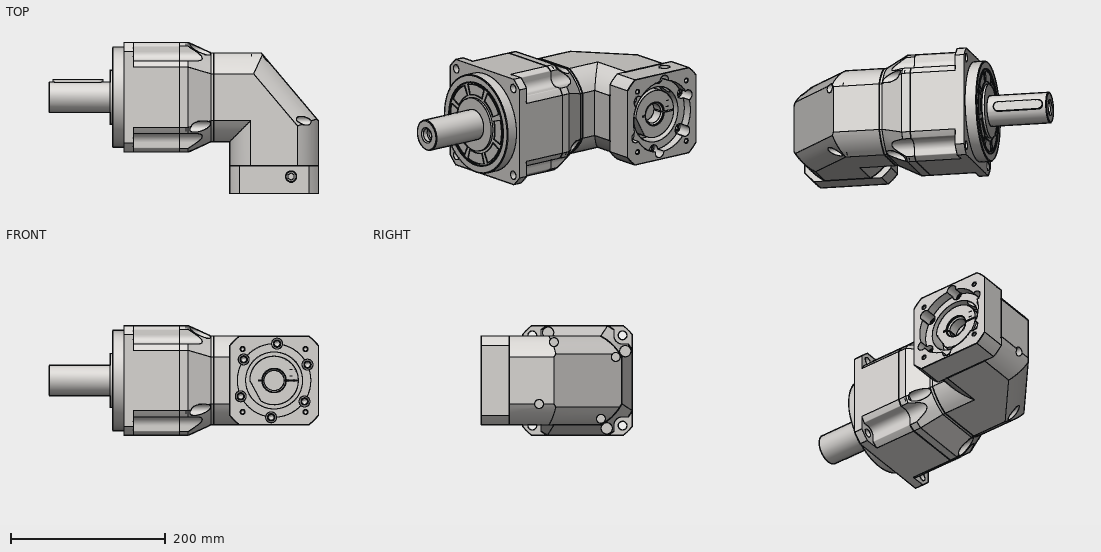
import cadquery as cq
import math


SHAFT_D = 40.0
SHAFT_TIP_X = -97.0
SHAFT_CHAMFER = 1.0
SHAFT_SEAT_X = 0.0
CENTRE_MOUTH_D = 20.5
CENTRE_RECESS_D = 17.0
CENTRE_RECESS_DEPTH = 8.0
CENTRE_THREAD_D = 14.0
CENTRE_THREAD_DEPTH = 36.0
KEY_LENGTH = 65.0
KEY_WIDTH = 12.0
KEY_HEIGHT = 8.0
KEY_TOP_Y = 23.0
KEY_START_X = -92.0

FLANGE_SIZE = 142.0
FLANGE_ROUND_D = 185.0
FLANGE_LENGTH = 12.0
BOLT_CIRCLE_D = 165.0
BOLT_HOLE_D = 11.0
PILOT_D = 130.0
PILOT_LENGTH = 15.0
PILOT_CHAMFER = 1.0
SEAL_BOSS_D = 70.0
SEAL_BOSS_LENGTH = 3.0
COVER_D = 110.0
COVER_GROOVE = 1.0
COVER_POCKET_COUNT = 8
COVER_POCKET_OUTER_D = 104.8
COVER_POCKET_INNER_D = 77.2
COVER_POCKET_HALF_ANGLE = 18.3
COVER_POCKET_DEPTH = 1.0
BODY_ROUND_D = 162.0
FLUTE_WALL = 47.0
FLUTE_RADIUS = 11.3
FLUTE_EDGE_RADIUS = 1.4
BODY_END_X = 72.0
BODY_END_CHAMFER = 0.5

TAPER_START_X = 83.0
TAPER_END_X = 112.5
RING_END_X = 116.0
RING_SCREW_D = 14.6
RING_SCREW_CIRCLE_D = 145.0
ELBOW_SCREW_D = 11.5
ELBOW_SCREW_CIRCLE_D = 116.3
SCREW_ANGLE = 31.5
RING_SCREW_FLOOR_X = 80.0

ELBOW_SIZE = 115.0
ELBOW_ROUND_D = 130.0
MOTOR_X = 194.0
ELBOW_END_Y = -88.5
SLANT_TOP_X = 177.3
SLANT_BOTTOM_Y = -30.5
SLANT_ROUND_DEPTH = 25.0
ELBOW_END_CHAMFER = 0.6
ELBOW_SCREW_FLOOR_X = 165.0

ADAPTER_FACE_Y = -124.5
ADAPTER_ROUND_D = 146.0
ADAPTER_CHAMFER = 0.4
RECESS_D = 95.0
RECESS_DEPTH = 12.5
HUB_CAVITY_D = 73.6
MOTOR_BOLT_SQUARE = 81.3
MOTOR_BOLT_D = 5.0
MOTOR_BOLT_MOUTH_D = 6.5
MOTOR_BOLT_DEPTH = 18.0
CAP_COUNT = 6
CAP_CIRCLE_D = 95.6
CAP_FIRST_ANGLE = 25.4
CAP_BORE_D = 14.0
CAP_BORE_DEPTH = 20.0
CAP_THREAD_D = 7.5
CAP_THREAD_MOUTH_D = 9.7
CAP_THREAD_DEPTH = 8.0
DRILL_TIP_ANGLE = 118.0

HUB_D = 62.8
HUB_FACE_Y = -110.0
HUB_BORE_D = 26.0
HUB_COLLAR_D = 30.0
HUB_COLLAR_DEPTH = 2.0
HUB_MOUTH_D = 31.6
HUB_BORE_FLOOR_Y = -92.0
HUB_FLAT_DISTANCE = 27.6
HUB_FLAT_ANGLE = 208.4
SLIT_WIDTH = 1.8
SLIT_SHORT_REACH = 20.0
CLAMP_OFFSET_X = 22.0
CLAMP_Y = -102.4
CLAMP_HEAD_D = 13.0
CLAMP_HEAD_BASE_Z = 6.0
CLAMP_HEAD_TOP_Z = 14.0
CLAMP_SHANK_D = 8.0
CLAMP_SHANK_END_Z = -14.0
SOCKET_SIDES = 6
CLAMP_SOCKET_FLATS = 8.0
CLAMP_SOCKET_DEPTH = 5.0
ACCESS_HOLE_D = 14.4

FAR = 400.0


def rod_x(diameter, start, end, y=0.0, z=0.0):
    """Cylinder along +X between two X positions."""
    return cq.Workplane("YZ", origin=(start, y, z)).circle(diameter / 2).extrude(end - start)


def rod_y(diameter, start, end, x=MOTOR_X, z=0.0):
    """Cylinder along Y from start towards end."""
    direction = cq.Vector(0, math.copysign(1, end - start), 0)
    return cq.Workplane(
        cq.Solid.makeCylinder(diameter / 2, abs(end - start), cq.Vector(x, start, z), direction)
    )


def countersink(mouth_d, diameter, mouth, direction):
    """45 degree cone narrowing from mouth_d to diameter."""
    depth = (mouth_d - diameter) / 2
    return cq.Workplane(
        cq.Solid.makeCone(mouth_d / 2, diameter / 2, depth, cq.Vector(*mouth), cq.Vector(*direction))
    )


def drill(diameter, mouth_d, depth, mouth, direction):
    """Blind hole with a conical tip and a 45 degree countersink of diameter mouth_d."""
    radius = diameter / 2
    tip = radius / math.tan(math.radians(DRILL_TIP_ANGLE / 2))
    axis = cq.Vector(*direction)
    bottom = cq.Vector(*mouth) + axis * depth
    hole = cq.Solid.makeCylinder(radius, depth, cq.Vector(*mouth), axis)
    end = cq.Solid.makeCone(radius, 0, tip, bottom, axis)
    sink = countersink(mouth_d, diameter, mouth, direction)
    return cq.Workplane(hole).union(cq.Workplane(end)).union(sink)


def rounded_square_x(size, round_d, start, end):
    """Square bar along X whose corners lie on a cylinder."""
    square = cq.Workplane("YZ", origin=(start, 0, 0)).rect(size, size).extrude(end - start)
    return square.intersect(rod_x(round_d, start, end))


def rounded_square_y(size, round_d, start, end):
    """Square bar along the motor axis whose corners lie on a cylinder."""
    square = cq.Workplane("XY").box(size, end - start, size).translate((MOTOR_X, (start + end) / 2, 0))
    return square.intersect(rod_y(round_d, start, end))


def four_fold(tool):
    """Four copies of a tool, turned about the output axis."""
    tools = cq.Workplane()
    for turn in range(4):
        tools = tools.add(tool.rotate((0, 0, 0), (1, 0, 0), 90 * turn))
    return tools.combine()


def screw_position(circle_d):
    """Offset across and along one side of the four-fold screw pattern."""
    angle = math.radians(SCREW_ANGLE)
    return circle_d / 2 * math.sin(angle), circle_d / 2 * math.cos(angle)


def corner_flutes(start, end):
    """Corner recesses with walls parallel to the sides and one rounded inner edge."""
    flute_size = FLANGE_SIZE - FLUTE_WALL
    flute = cq.Workplane("XY").box(end - start, flute_size, flute_size, centered=False)
    flute = flute.edges("|X and <Y and <Z").fillet(FLUTE_RADIUS)
    return four_fold(flute.translate((start, FLUTE_WALL, FLUTE_WALL)))


def make_key():
    """Round-ended key on the +Y side of the shaft."""
    outline = cq.Workplane("XZ", origin=(KEY_START_X + KEY_LENGTH / 2, KEY_TOP_Y - KEY_HEIGHT, 0))
    return outline.slot2D(KEY_LENGTH, KEY_WIDTH).extrude(-KEY_HEIGHT)


def make_shaft():
    shaft = rod_x(SHAFT_D, SHAFT_TIP_X, SHAFT_SEAT_X).faces("<X").chamfer(SHAFT_CHAMFER)
    tip = (SHAFT_TIP_X, 0, 0)
    recess_floor = (SHAFT_TIP_X + CENTRE_RECESS_DEPTH, 0, 0)
    recess = rod_x(CENTRE_RECESS_D, SHAFT_TIP_X, SHAFT_TIP_X + CENTRE_RECESS_DEPTH)
    thread = drill(CENTRE_THREAD_D, CENTRE_RECESS_D, CENTRE_THREAD_DEPTH, recess_floor, (1, 0, 0))
    mouth = countersink(CENTRE_MOUTH_D, CENTRE_RECESS_D, tip, (1, 0, 0))
    shaft = shaft.cut(mouth).cut(recess).cut(thread)
    return shaft.cut(make_key())


def cover_pockets():
    """Ring of shallow sector pockets in the pilot face."""
    outer = COVER_POCKET_OUTER_D / 2
    inner = COVER_POCKET_INNER_D / 2
    half = math.radians(COVER_POCKET_HALF_ANGLE)

    def point(radius, angle):
        return radius * math.cos(angle), radius * math.sin(angle)

    pocket = (
        cq.Workplane("YZ", origin=(-PILOT_LENGTH, 0, 0))
        .moveTo(*point(inner, -half))
        .lineTo(*point(outer, -half))
        .threePointArc(point(outer, 0), point(outer, half))
        .lineTo(*point(inner, half))
        .threePointArc(point(inner, 0), point(inner, -half))
        .close()
        .extrude(COVER_POCKET_DEPTH)
    )
    pockets = cq.Workplane()
    for index in range(COVER_POCKET_COUNT):
        pockets = pockets.add(pocket.rotate((0, 0, 0), (1, 0, 0), index * 360 / COVER_POCKET_COUNT))
    return pockets.combine()


def make_front_housing():
    body = rounded_square_x(FLANGE_SIZE, BODY_ROUND_D, FLANGE_LENGTH, BODY_END_X)
    body = body.faces(">X").chamfer(BODY_END_CHAMFER)
    body = body.cut(corner_flutes(FLANGE_LENGTH, BODY_END_X))
    edge_reach = math.sqrt((BODY_ROUND_D / 2) ** 2 - FLUTE_WALL**2)
    middle_x = (FLANGE_LENGTH + BODY_END_X) / 2
    for y_side in (-1, 1):
        for z_side in (-1, 1):
            for y, z in ((edge_reach, FLUTE_WALL), (FLUTE_WALL, edge_reach)):
                lip = cq.selectors.NearestToPointSelector((middle_x, y_side * y, z_side * z))
                body = body.edges("|X").edges(lip).fillet(FLUTE_EDGE_RADIUS)
    flange = rounded_square_x(FLANGE_SIZE, FLANGE_ROUND_D, 0, FLANGE_LENGTH)
    bolt_offset = BOLT_CIRCLE_D / 2 * math.sqrt(0.5)
    flange = flange.cut(four_fold(rod_x(BOLT_HOLE_D, 0, FLANGE_LENGTH, bolt_offset, bolt_offset)))
    pilot = rod_x(PILOT_D, -PILOT_LENGTH, 0).faces("<X").chamfer(PILOT_CHAMFER)
    boss = rod_x(SEAL_BOSS_D, -PILOT_LENGTH - SEAL_BOSS_LENGTH, -PILOT_LENGTH)
    housing = body.union(flange).union(pilot).union(boss)
    groove_end = -PILOT_LENGTH + COVER_GROOVE
    groove = rod_x(COVER_D + COVER_GROOVE, -PILOT_LENGTH, groove_end)
    groove = groove.cut(rod_x(COVER_D - COVER_GROOVE, -PILOT_LENGTH, groove_end))
    housing = housing.cut(groove).cut(cover_pockets())
    return housing.cut(rod_x(SHAFT_D, -FAR, SHAFT_SEAT_X))


def make_ring():
    straight = rounded_square_x(FLANGE_SIZE, BODY_ROUND_D, BODY_END_X, TAPER_START_X)
    taper_length = TAPER_END_X - TAPER_START_X
    pyramid = (
        cq.Workplane("YZ", origin=(TAPER_START_X, 0, 0))
        .rect(FLANGE_SIZE, FLANGE_SIZE)
        .workplane(offset=taper_length)
        .rect(ELBOW_SIZE, ELBOW_SIZE)
        .loft(ruled=True)
    )
    cone = cq.Solid.makeCone(
        BODY_ROUND_D / 2,
        ELBOW_ROUND_D / 2,
        taper_length,
        cq.Vector(TAPER_START_X, 0, 0),
        cq.Vector(1, 0, 0),
    )
    neck = rounded_square_x(ELBOW_SIZE, ELBOW_ROUND_D, TAPER_END_X, RING_END_X)
    ring = straight.union(pyramid.intersect(cq.Workplane(cone))).union(neck)
    ring = ring.cut(corner_flutes(BODY_END_X, TAPER_END_X))
    across, along = screw_position(RING_SCREW_CIRCLE_D)
    return ring.cut(four_fold(rod_x(RING_SCREW_D, RING_SCREW_FLOOR_X, TAPER_END_X, -across, along)))


def slanted_outer_corner():
    """Region inside the slanted outer face, with its long edges rounded like the two legs."""
    half = ELBOW_SIZE / 2
    top = cq.Vector(SLANT_TOP_X, half, 0)
    along = (cq.Vector(MOTOR_X + half, SLANT_BOTTOM_Y, 0) - top).normalized()
    outward = cq.Vector(-along.y, along.x, 0)
    radius = ELBOW_ROUND_D / 2
    edge_from_axis = math.sqrt(radius**2 - half**2)
    face_from_axis = edge_from_axis + SLANT_ROUND_DEPTH
    face_half = math.sqrt(radius**2 - face_from_axis**2)
    middle_from_axis = radius * math.cos(math.atan2(face_half + half, face_from_axis + edge_from_axis))
    middle_half = math.sqrt(radius**2 - middle_from_axis**2)
    plane = cq.Plane(
        origin=(top - along * FAR - outward * face_from_axis).toTuple(),
        xDir=outward.toTuple(),
        normal=along.toTuple(),
    )
    return (
        cq.Workplane(plane)
        .moveTo(-FAR, -half)
        .lineTo(edge_from_axis, -half)
        .threePointArc((middle_from_axis, -middle_half), (face_from_axis, -face_half))
        .lineTo(face_from_axis, face_half)
        .threePointArc((middle_from_axis, middle_half), (edge_from_axis, half))
        .lineTo(-FAR, half)
        .close()
        .extrude(2 * FAR)
    )


def make_elbow():
    half = ELBOW_SIZE / 2
    output_leg = rounded_square_x(ELBOW_SIZE, ELBOW_ROUND_D, RING_END_X, MOTOR_X + half)
    output_leg = output_leg.faces("<X").chamfer(ELBOW_END_CHAMFER)
    motor_leg = rounded_square_y(ELBOW_SIZE, ELBOW_ROUND_D, ELBOW_END_Y, half)
    motor_leg = motor_leg.faces("<Y").chamfer(ELBOW_END_CHAMFER)
    motor_side = (
        cq.Workplane("XY", origin=(MOTOR_X, 0, -half))
        .polyline([(-FAR, -FAR), (FAR, -FAR), (FAR, FAR)])
        .close()
        .extrude(ELBOW_SIZE)
    )
    elbow = output_leg.cut(motor_side).union(motor_leg.intersect(motor_side))
    elbow = elbow.intersect(slanted_outer_corner())
    across, along = screw_position(ELBOW_SCREW_CIRCLE_D)
    screw = rod_x(ELBOW_SCREW_D, ELBOW_SCREW_FLOOR_X, FAR, -across, along)
    return elbow.cut(four_fold(screw))


def make_adapter():
    adapter = rounded_square_y(ELBOW_SIZE, ADAPTER_ROUND_D, ADAPTER_FACE_Y, ELBOW_END_Y)
    adapter = adapter.faces("<Y").chamfer(ADAPTER_CHAMFER)
    adapter = adapter.cut(rod_y(RECESS_D, ADAPTER_FACE_Y, ADAPTER_FACE_Y + RECESS_DEPTH))
    adapter = adapter.cut(rod_y(HUB_CAVITY_D, ADAPTER_FACE_Y, ELBOW_END_Y))
    bolt = MOTOR_BOLT_SQUARE / 2
    for x_side in (-1, 1):
        for z_side in (-1, 1):
            mouth = (MOTOR_X + x_side * bolt, ADAPTER_FACE_Y, z_side * bolt)
            adapter = adapter.cut(drill(MOTOR_BOLT_D, MOTOR_BOLT_MOUTH_D, MOTOR_BOLT_DEPTH, mouth, (0, 1, 0)))
    for index in range(CAP_COUNT):
        angle = math.radians(CAP_FIRST_ANGLE + index * 360 / CAP_COUNT)
        x = MOTOR_X + CAP_CIRCLE_D / 2 * math.cos(angle)
        z = CAP_CIRCLE_D / 2 * math.sin(angle)
        floor_y = ADAPTER_FACE_Y + CAP_BORE_DEPTH
        adapter = adapter.cut(rod_y(CAP_BORE_D, ADAPTER_FACE_Y, floor_y, x, z))
        thread = drill(CAP_THREAD_D, CAP_THREAD_MOUTH_D, CAP_THREAD_DEPTH, (x, floor_y, z), (0, 1, 0))
        adapter = adapter.cut(thread)
    access = cq.Workplane("XY", origin=(MOTOR_X + CLAMP_OFFSET_X, CLAMP_Y, 0))
    return adapter.cut(access.circle(ACCESS_HOLE_D / 2).extrude(ELBOW_SIZE))


def clamp_rod(diameter, start_z, end_z):
    base = cq.Workplane("XY", origin=(MOTOR_X + CLAMP_OFFSET_X, CLAMP_Y, start_z))
    return base.circle(diameter / 2).extrude(end_z - start_z)


def make_clamp_screw():
    head = clamp_rod(CLAMP_HEAD_D, CLAMP_HEAD_BASE_Z, CLAMP_HEAD_TOP_Z)
    socket = (
        cq.Workplane("XY", origin=(MOTOR_X + CLAMP_OFFSET_X, CLAMP_Y, CLAMP_HEAD_TOP_Z))
        .polygon(SOCKET_SIDES, CLAMP_SOCKET_FLATS, circumscribed=True)
        .extrude(-CLAMP_SOCKET_DEPTH)
    )
    return head.cut(socket).union(clamp_rod(CLAMP_SHANK_D, CLAMP_SHANK_END_Z, CLAMP_HEAD_BASE_Z))


def make_hub():
    hub = rod_y(HUB_D, HUB_FACE_Y, ELBOW_END_Y)
    flat = cq.Workplane("XY").box(HUB_D, FAR, FAR).translate((HUB_FLAT_DISTANCE + HUB_D / 2, 0, 0))
    flat = flat.rotate((0, 0, 0), (0, 1, 0), -HUB_FLAT_ANGLE).translate((MOTOR_X, 0, 0))
    hub = hub.cut(flat).cut(rod_y(HUB_BORE_D, HUB_FACE_Y, HUB_BORE_FLOOR_Y))
    collar_floor_y = HUB_FACE_Y + HUB_COLLAR_DEPTH
    hub = hub.cut(countersink(HUB_MOUTH_D, HUB_COLLAR_D, (MOTOR_X, HUB_FACE_Y, 0), (0, 1, 0)))
    hub = hub.cut(rod_y(HUB_COLLAR_D, HUB_FACE_Y, collar_floor_y))
    hub = hub.cut(countersink(HUB_COLLAR_D, HUB_BORE_D, (MOTOR_X, collar_floor_y, 0), (0, 1, 0)))
    slit_depth = HUB_BORE_FLOOR_Y - HUB_FACE_Y
    slit_length = SLIT_SHORT_REACH + HUB_D / 2
    slit = cq.Workplane("XY").box(slit_length, slit_depth, SLIT_WIDTH, centered=(False, False, True))
    slit = slit.translate((MOTOR_X - SLIT_SHORT_REACH, HUB_FACE_Y, 0))
    hub = hub.cut(slit)
    hub = hub.cut(clamp_rod(CLAMP_HEAD_D, CLAMP_HEAD_BASE_Z, HUB_D))
    return hub.cut(clamp_rod(CLAMP_SHANK_D, CLAMP_SHANK_END_Z, CLAMP_HEAD_BASE_Z))


shaft = make_shaft()
key = make_key()
front_housing = make_front_housing()
ring = make_ring()
elbow = make_elbow()
adapter = make_adapter()
clamp_hub = make_hub()
clamp_screw = make_clamp_screw()

bodies = (shaft, key, front_housing, ring, elbow, adapter, clamp_hub, clamp_screw)
result = cq.Compound.makeCompound([body.solids().val() for body in bodies])